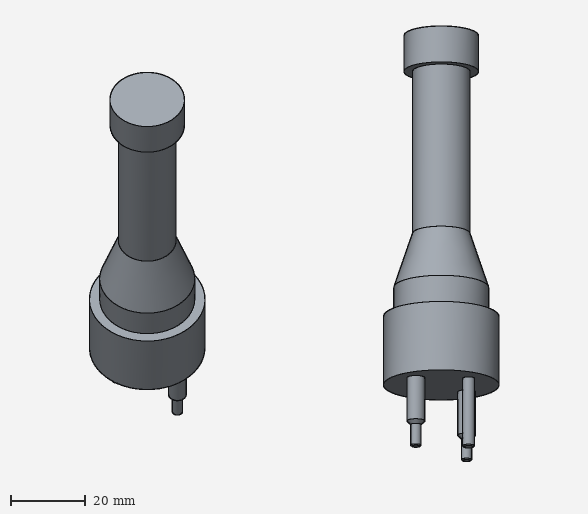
import cadquery as cq

base_diameter = 31.0
base_height = 19.0
collar_diameter = 25.5
collar_height = 8.0
cone_height = 15.0
stem_diameter = 15.5
stem_height = 45.0
cap_diameter = 20.0
cap_height = 10.0

pin_length = 19.0
pin_circle_radius = 10.0
tip_chamfer = 0.3
stepped_pin_diameter = 4.8
stepped_tip_diameter = 2.8
stepped_tip_length = 6.0
step_taper_height = 1.0
plain_pin_diameter = 3.2

base_top = pin_length + base_height
collar_top = base_top + collar_height
cone_top = collar_top + cone_height
stem_top = cone_top + stem_height
cap_top = stem_top + cap_height


def revolve_profile(points):
    """Solid of revolution about Z from (radius, height) points."""
    return (
        cq.Workplane("XZ")
        .polyline(points)
        .close()
        .revolve(360, (0, 0, 0), (0, 1, 0))
    )


def make_body():
    """Round base, collar, cone, stem and cap in one turned profile."""
    return revolve_profile([
        (0, pin_length),
        (base_diameter / 2, pin_length),
        (base_diameter / 2, base_top),
        (collar_diameter / 2, base_top),
        (collar_diameter / 2, collar_top),
        (stem_diameter / 2, cone_top),
        (stem_diameter / 2, stem_top),
        (cap_diameter / 2, stem_top),
        (cap_diameter / 2, cap_top),
        (0, cap_top),
    ])


def make_stepped_pin():
    """Thick pin that tapers down to a thinner chamfered tip."""
    tip_radius = stepped_tip_diameter / 2
    shank_radius = stepped_pin_diameter / 2
    return revolve_profile([
        (0, 0),
        (tip_radius - tip_chamfer, 0),
        (tip_radius, tip_chamfer),
        (tip_radius, stepped_tip_length),
        (shank_radius, stepped_tip_length + step_taper_height),
        (shank_radius, pin_length),
        (0, pin_length),
    ])


def make_plain_pin():
    """Straight pin with a chamfered tip."""
    return (
        cq.Workplane("XY")
        .circle(plain_pin_diameter / 2)
        .extrude(pin_length)
        .faces("<Z")
        .chamfer(tip_chamfer)
    )


result = make_body()
for side in (-1, 1):
    result = result.union(make_stepped_pin().translate((side * pin_circle_radius, 0, 0)))
result = result.union(make_plain_pin().translate((0, pin_circle_radius, 0)))